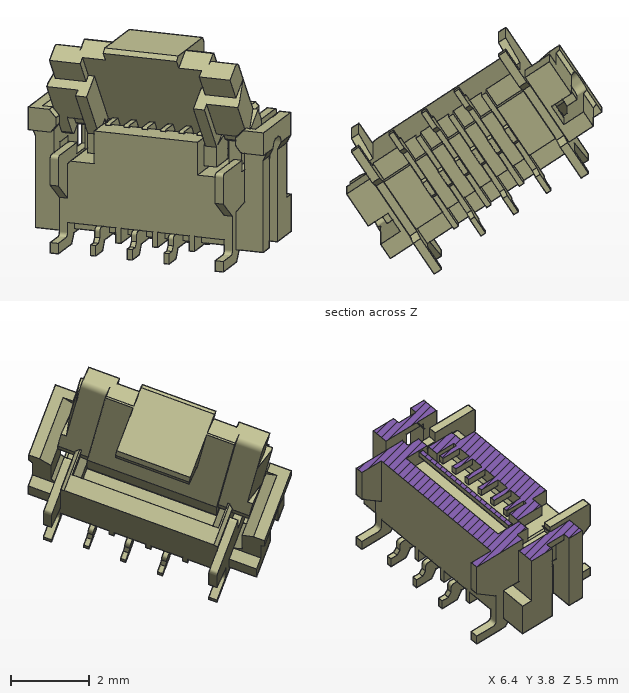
import cadquery as cq
import math


WALL_Y = 1.25
HOUSING_HALF = 2.13
HOUSING_BOTTOM = 0.345
RECESS_TOP = 0.65
RECESS_DEPTH = 0.51
FLOOR_Z = 2.29
SHOULDER_CHAMFER = 0.08
FRONT_HALF = 1.41
FRONT_BACK_Y = -0.56
FRONT_HEEL = 0.08
FRONT_TOP = 3.16
REAR_TOP = 3.6
REAR_CHAMFER = 0.1
CAVITY_TOP_HALF = 1.985
CAVITY_HALF = 1.785
CAVITY_TOP_Y = 0.795
CAVITY_Y = 0.7
THROAT_TOP = 3.2
THROAT_BOTTOM = 2.945

FRAME_HALF = 3.2
POST_OUT = 3.1
POST_IN = 2.59
POST_FRONT_Y = -1.005
POST_REAR_Y = 0.7
LEDGE_REAR_Y = 1.005
LEDGE_TOP = 1.34
FUNNEL_TOP = 1.63
BAR_BOTTOM = 3.0
FLARE_BOTTOM = 2.79
BAR_IN = 2.9
BAR_SLOPE_BOTTOM = 3.295
LOBE_IN = 2.445
LOBE_TOP_IN = 2.63
LOBE_FLAT_TOP = 3.4
LOBE_FLAT_BOTTOM = 3.18
SLOT_FRONT_Y = -0.56
SLOT_REAR_Y = 0.005
SLOT_TOP = 3.21
SLOT_ROUND = 0.21
SLOT_INNER_TOP = 2.555
SLOT_WEB_OUT = 2.495

METAL_OUT = 2.355
METAL_THICK = METAL_OUT - HOUSING_HALF
TAB_Y = 1.9
FOOT_THICK = 0.28
REAR_TAB_TOP = 3.295
REAR_TAB_IN_Y = 0.35
FRONT_TAB_TOP = 2.59
TAB_BEND_Z = 1.805
TAB_ROOT_Z = 1.3
TAB_ROUND = 0.095
FOOT_FILLET = 0.1

CONTACT_COUNT = 6
CONTACT_PITCH = 0.5
CONTACT_WIDTH = 0.14
CONTACT_BASE_Z = 0.25
CONTACT_END_Y = 1.74
TIP_FRONT_Y = -0.67
TIP_BACK_Y = 0.0
TIP_ROUND = 0.04
TIP_TOP = 3.21
TIP_BOTTOM = 2.555

LATCH_TILT = 54.8
LATCH_ORIGIN = (0.29, 3.68)
LATCH_BACK_Y = 0.315
LATCH_HALF = 1.755
LATCH_LOW = -0.895
LATCH_TOP = 2.25
ARM_TOP = 1.53
ARM_STEP = 0.32
ARM_LOW = -0.41
ARM_BEVEL_ALONG = 0.13
ARM_BEVEL_OUT = 0.065
ARM_BACK_Y = 0.2
ARM_HALF = 2.6
EAR_HALF = 2.46
NOTCH_HALF = 2.305
EAR_IN = 1.62
RIB_IN = 1.45
OUT_STEP = 0.19
OUT_PLATE = 0.62
OUT_NOTCH = 0.795
OUT_EAR = 0.825
OUT_TAPER = 0.985
OUT_ARM = 1.12
OUT_RIB = 1.31
EAR_ROUND = 0.2
RIB_FRONT_Y = -0.795
RIB_FOOT_Z = 2.41
RIB_KNEE_Z = 2.96
HANDLE_HALF = 1.0
HANDLE_TOP = 5.5
HANDLE_TIP = 2.52
HANDLE_FRONT_Y = -1.56
HANDLE_BACK_Y = 0.29
HANDLE_BEVEL = 0.095
HANDLE_SHOULDER_Z = 5.36
HANDLE_HOOK_Z = 5.1
HANDLE_NECK = (-0.27, 4.68)
HANDLE_ROOT = (-0.3, 4.51)


def block(x0, x1, y0, y1, z0, z1):
    return cq.Workplane("XY").box(x1 - x0, y1 - y0, z1 - z0, centered=False).translate((x0, y0, z0))


def side_profile(points, x0, x1):
    """Extrude a closed (Y, Z) outline from x0 to x1."""
    return cq.Workplane("YZ").workplane(offset=x0).polyline(points).close().extrude(x1 - x0)


def front_profile(points, y0, y1):
    """Extrude a closed (X, Z) outline from y0 to y1."""
    return cq.Workplane("XZ").workplane(offset=-y1).polyline(points).close().extrude(y1 - y0)


def both_sides(body):
    return body.union(body.mirror("YZ"))


def make_housing():
    housing = block(-HOUSING_HALF, HOUSING_HALF, -WALL_Y, WALL_Y, HOUSING_BOTTOM, FLOOR_Z)
    housing = housing.edges("|Y and >Z").chamfer(SHOULDER_CHAMFER)
    front = side_profile(
        [
            (-WALL_Y, HOUSING_BOTTOM),
            (FRONT_BACK_Y + FRONT_HEEL, HOUSING_BOTTOM),
            (FRONT_BACK_Y + FRONT_HEEL, FLOOR_Z),
            (FRONT_BACK_Y, FLOOR_Z + FRONT_HEEL),
            (FRONT_BACK_Y, FRONT_TOP),
            (-WALL_Y, FRONT_TOP),
        ],
        -FRONT_HALF,
        FRONT_HALF,
    )

    rear = block(-HOUSING_HALF, HOUSING_HALF, 0, WALL_Y, HOUSING_BOTTOM, REAR_TOP)
    rear = rear.edges("|Y and >Z").chamfer(REAR_CHAMFER)
    cavity = side_profile(
        [
            (0, FLOOR_Z),
            (CAVITY_Y, FLOOR_Z),
            (CAVITY_Y, THROAT_BOTTOM),
            (CAVITY_TOP_Y, THROAT_TOP),
            (CAVITY_TOP_Y, REAR_TOP),
            (0, REAR_TOP),
        ],
        -CAVITY_HALF,
        CAVITY_HALF,
    )
    side_flare = front_profile(
        [
            (CAVITY_HALF, THROAT_BOTTOM),
            (CAVITY_TOP_HALF, THROAT_TOP),
            (CAVITY_TOP_HALF, REAR_TOP),
            (CAVITY_HALF, REAR_TOP),
        ],
        0,
        CAVITY_TOP_Y,
    )
    rear = rear.cut(cavity).cut(side_flare).cut(side_flare.mirror("YZ"))

    housing = housing.union(front).union(rear)
    for y0 in (-WALL_Y, WALL_Y - RECESS_DEPTH):
        housing = housing.cut(
            block(-HOUSING_HALF, HOUSING_HALF, y0, y0 + RECESS_DEPTH, HOUSING_BOTTOM, RECESS_TOP)
        )
    return housing


def make_frame():
    """Right-hand guide post with its top bar and front lobe."""
    post = front_profile(
        [
            (METAL_OUT, HOUSING_BOTTOM),
            (POST_OUT, HOUSING_BOTTOM),
            (POST_OUT, FLARE_BOTTOM),
            (FRAME_HALF, BAR_BOTTOM),
            (FRAME_HALF, REAR_TOP),
            (BAR_IN, REAR_TOP),
            (POST_IN, BAR_SLOPE_BOTTOM),
            (POST_IN, FUNNEL_TOP),
            (METAL_OUT, LEDGE_TOP),
        ],
        POST_FRONT_Y,
        POST_REAR_Y,
    )
    ledge = block(METAL_OUT, POST_OUT, POST_REAR_Y, LEDGE_REAR_Y, HOUSING_BOTTOM, LEDGE_TOP)
    lobe = front_profile(
        [
            (POST_IN, BAR_BOTTOM),
            (FRAME_HALF, BAR_BOTTOM),
            (FRAME_HALF, REAR_TOP),
            (LOBE_TOP_IN, REAR_TOP),
            (LOBE_IN, LOBE_FLAT_TOP),
            (LOBE_IN, LOBE_FLAT_BOTTOM),
        ],
        -WALL_Y,
        POST_FRONT_Y,
    )
    slot = block(BAR_IN, FRAME_HALF, SLOT_FRONT_Y, SLOT_REAR_Y, HOUSING_BOTTOM, SLOT_TOP)
    slot = slot.edges("|X and >Z").fillet(SLOT_ROUND)
    inner_slot = block(METAL_OUT, BAR_IN, SLOT_FRONT_Y, SLOT_REAR_Y, HOUSING_BOTTOM, SLOT_INNER_TOP)
    web = block(METAL_OUT, SLOT_WEB_OUT, SLOT_FRONT_Y, SLOT_REAR_Y, HOUSING_BOTTOM, LEDGE_TOP)
    return post.union(ledge).cut(slot).cut(inner_slot).union(web).union(lobe)


def make_hold_down():
    """Right-hand metal plate with a soldering foot and a tab at each end."""
    notch_y = 0.775
    foot_in_y = 0.94
    plate = side_profile(
        [
            (-TAB_Y, 0),
            (-foot_in_y, 0),
            (-notch_y, CONTACT_BASE_Z),
            (notch_y, CONTACT_BASE_Z),
            (foot_in_y, 0),
            (TAB_Y, 0),
            (TAB_Y, FOOT_THICK),
            (WALL_Y, FOOT_THICK),
            (WALL_Y, TAB_ROOT_Z),
            (TAB_Y, TAB_BEND_Z),
            (TAB_Y, REAR_TAB_TOP),
            (REAR_TAB_IN_Y, REAR_TAB_TOP),
            (REAR_TAB_IN_Y, FLOOR_Z),
            (SLOT_FRONT_Y, FLOOR_Z),
            (SLOT_FRONT_Y, FRONT_TAB_TOP),
            (-TAB_Y, FRONT_TAB_TOP),
            (-TAB_Y, TAB_BEND_Z),
            (-WALL_Y, TAB_ROOT_Z),
            (-WALL_Y, FOOT_THICK),
            (-TAB_Y, FOOT_THICK),
        ],
        HOUSING_HALF,
        METAL_OUT,
    )
    middle_x = HOUSING_HALF + METAL_THICK / 2
    for y in (-WALL_Y, WALL_Y):
        corner = cq.selectors.NearestToPointSelector((middle_x, y, FOOT_THICK))
        plate = plate.edges(corner).fillet(FOOT_FILLET)
    tab_corners = ((TAB_Y, REAR_TAB_TOP), (REAR_TAB_IN_Y, REAR_TAB_TOP), (-TAB_Y, FRONT_TAB_TOP))
    for y, z in tab_corners:
        plate = plate.edges(cq.selectors.NearestToPointSelector((middle_x, y, z))).fillet(TAB_ROUND)
    return plate


def make_contact(x, side):
    """Contact centred on x whose foot points to side (+1 rear, -1 front)."""
    toe_y = 1.235
    heel_y = 1.09
    bend_y = 1.44
    foot_run = 0.095
    foot_rise = 0.12
    bend_round = 0.095
    crown_z = RECESS_TOP
    hump_y = 0.27
    hump_z = 0.14
    hump_slope = 0.065
    stub_y = -WALL_Y
    bend_mid = bend_round * math.sqrt(0.5)
    half = CONTACT_WIDTH / 2
    outline = (
        cq.Workplane("YZ")
        .moveTo(stub_y, CONTACT_BASE_Z)
        .lineTo(-hump_y, CONTACT_BASE_Z)
        .lineTo(-hump_y + hump_slope, hump_z)
        .lineTo(hump_y - hump_slope, hump_z)
        .lineTo(hump_y, CONTACT_BASE_Z)
        .lineTo(heel_y, CONTACT_BASE_Z)
        .lineTo(toe_y, 0)
        .lineTo(CONTACT_END_Y, 0)
        .lineTo(CONTACT_END_Y, FOOT_THICK)
        .lineTo(bend_y + foot_run, FOOT_THICK)
        .lineTo(bend_y, FOOT_THICK + foot_rise)
        .lineTo(bend_y, crown_z - bend_round)
        .threePointArc(
            (bend_y - bend_round + bend_mid, crown_z - bend_round + bend_mid),
            (bend_y - bend_round, crown_z),
        )
        .lineTo(stub_y, crown_z)
        .close()
    )
    contact = outline.extrude(half, both=True)
    if side < 0:
        contact = contact.mirror("XZ")
    tip = block(-half, half, TIP_FRONT_Y, TIP_BACK_Y, TIP_BOTTOM, TIP_TOP)
    tip = tip.edges("|X and >Z and <Y").fillet(TIP_ROUND)
    return contact.union(tip).translate((x, 0, 0))


TILT = math.radians(LATCH_TILT)
ALONG = cq.Vector(0, -math.cos(TILT), math.sin(TILT))
LATCH_ROOT = cq.Vector(0, *LATCH_ORIGIN)


def latch_block(x0, x1, along0, along1, out0, out1):
    """Box aligned with the tilted latch."""
    plane = cq.Plane(origin=LATCH_ROOT, xDir=ALONG, normal=(1, 0, 0))
    outline = [(along0, out0), (along1, out0), (along1, out1), (along0, out1)]
    return cq.Workplane(plane).workplane(offset=x0).polyline(outline).close().extrude(x1 - x0)


def latch_point(along, out):
    """(Y, Z) of a point given in the latch's own directions."""
    y = LATCH_ORIGIN[0] - along * math.cos(TILT) - out * math.sin(TILT)
    z = LATCH_ORIGIN[1] + along * math.sin(TILT) - out * math.cos(TILT)
    return y, z


def latch_section(points, along0, along1):
    """Extrude a closed (X, out) outline up the latch."""
    plane = cq.Plane(origin=LATCH_ROOT + ALONG * along0, xDir=(1, 0, 0), normal=ALONG)
    outline = [(x, -out) for x, out in points]
    return cq.Workplane(plane).polyline(outline).close().extrude(along1 - along0)


def arm_root(x0, x1, out):
    """Lower end of an arm, bevelled along its lower front edge."""
    outline = [
        latch_point(ARM_LOW, OUT_STEP),
        latch_point(ARM_STEP, OUT_STEP),
        latch_point(ARM_STEP, out),
        latch_point(ARM_LOW + ARM_BEVEL_ALONG, out),
        latch_point(ARM_LOW, out - ARM_BEVEL_OUT),
    ]
    return side_profile(outline, x0, x1)


def make_latch_arm():
    """Right-hand ear, tapered arm and rib of the latch."""
    outer_root = arm_root(NOTCH_HALF, ARM_HALF, OUT_ARM)
    inner_root = arm_root(RIB_IN, NOTCH_HALF, OUT_NOTCH)
    tapered = latch_section(
        [
            (RIB_IN, OUT_STEP),
            (EAR_HALF, OUT_STEP),
            (ARM_HALF, OUT_TAPER),
            (ARM_HALF, OUT_ARM),
            (RIB_IN, OUT_ARM),
        ],
        ARM_STEP,
        ARM_TOP,
    )
    behind = block(RIB_IN, FRAME_HALF, ARM_BACK_Y, TAB_Y, 0, HANDLE_TOP)
    arm = outer_root.union(inner_root).union(tapered).cut(behind)

    rib = latch_block(RIB_IN, LATCH_HALF, 0, ARM_TOP, OUT_STEP, OUT_RIB)
    rib_foot = side_profile(
        [
            (RIB_FRONT_Y, RIB_FOOT_Z),
            (RIB_FRONT_Y, RIB_KNEE_Z),
            (SLOT_REAR_Y, SLOT_TOP),
            (SLOT_REAR_Y, RIB_FOOT_Z),
        ],
        FRONT_HALF,
        LATCH_HALF,
    )
    ear = latch_block(EAR_IN, EAR_HALF, ARM_TOP, LATCH_TOP, OUT_STEP, OUT_EAR)
    ear = ear.edges("|X and >Z").fillet(EAR_ROUND)
    return arm.union(rib).union(rib_foot).union(ear)


def make_latch():
    plate = latch_block(-LATCH_HALF, LATCH_HALF, LATCH_LOW, LATCH_TOP, 0, OUT_PLATE)
    handle = side_profile(
        [
            (HANDLE_BACK_Y - HANDLE_BEVEL, HANDLE_TOP),
            (HANDLE_FRONT_Y, HANDLE_TOP),
            latch_point(HANDLE_TIP, OUT_PLATE),
            latch_point(ARM_TOP, OUT_PLATE),
            HANDLE_ROOT,
            HANDLE_NECK,
            (HANDLE_BACK_Y, HANDLE_HOOK_Z),
            (HANDLE_BACK_Y, HANDLE_SHOULDER_Z),
        ],
        -HANDLE_HALF,
        HANDLE_HALF,
    )
    latch = plate.union(both_sides(make_latch_arm())).union(handle)
    envelope = block(-FRAME_HALF, FRAME_HALF, -TAB_Y, LATCH_BACK_Y, 0, HANDLE_TOP)
    return latch.intersect(envelope)


result = make_housing()
result = result.union(both_sides(make_frame().union(make_hold_down())))
result = result.union(make_latch())
for index in range(CONTACT_COUNT):
    contact_x = (index - (CONTACT_COUNT - 1) / 2) * CONTACT_PITCH
    foot_side = -1 if index % 2 == 0 else 1
    result = result.union(make_contact(contact_x, foot_side))